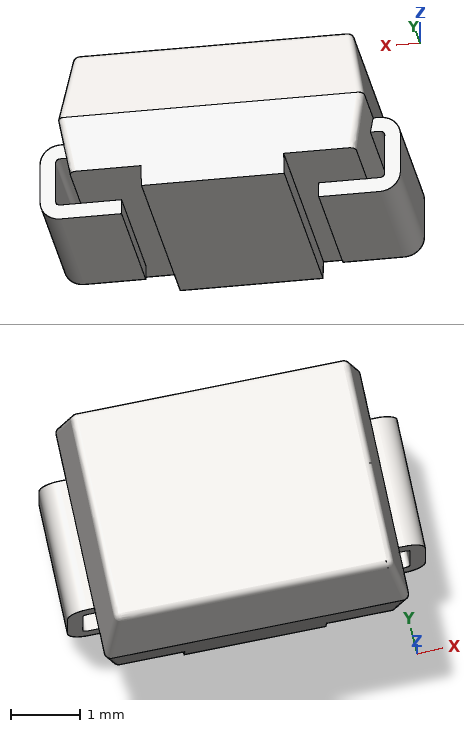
import cadquery as cq
import math

body_length = 4.5
body_width = 3.6
top_z = 2.35
parting_z = 1.225
body_bottom_z = 0.4
draft_angle = 10.0
edge_radius = 0.1

pedestal_length = 2.1
pedestal_bottom_z = 0.1

span = 5.3
lead_width = 2.0
lead_thickness = 0.23
bend_radius = 0.3
inner_bend_radius = bend_radius - lead_thickness
foot_length = 1.2
lead_embedment = 0.3


def drafted_half(height):
    """Tapered block from the parting plane; a negative height goes downward."""
    inset = abs(height) * math.tan(math.radians(draft_angle))
    return (
        cq.Workplane("XY", origin=(0, 0, parting_z))
        .rect(body_length, body_width)
        .workplane(offset=height)
        .rect(body_length - 2 * inset, body_width - 2 * inset)
        .loft()
    )


def make_upper_body():
    """Upper half with its corner edges and top rim rounded."""
    block = drafted_half(top_z - parting_z)
    block = block.edges("not(|X or |Y)").fillet(edge_radius)
    return block.faces(">Z").edges().fillet(edge_radius)


def make_lower_body():
    """Lower half, cut away at both ends so that only the pedestal reaches down."""
    block = drafted_half(pedestal_bottom_z - parting_z)
    block = block.edges("not(|X or |Y)").fillet(edge_radius)
    end_relief_length = (body_length - pedestal_length) / 2
    relief_height = body_bottom_z - pedestal_bottom_z
    for side in (-1, 1):
        relief = cq.Workplane("XY").box(
            end_relief_length, body_width, relief_height, centered=(True, True, False)
        )
        relief_x = side * (pedestal_length + end_relief_length) / 2
        block = block.cut(relief.translate((relief_x, 0, pedestal_bottom_z)))
    return block


def make_left_lead():
    """C-shaped strip: out of the body, down, and back under it."""
    outer_x = -span / 2
    inner_x = outer_x + lead_thickness
    foot_end_x = outer_x + foot_length
    embedded_end_x = -body_length / 2 + lead_embedment
    foot_top_z = lead_thickness
    arm_bottom_z = parting_z - lead_thickness
    outline = [
        (embedded_end_x, parting_z),
        (outer_x, parting_z),
        (outer_x, 0),
        (foot_end_x, 0),
        (foot_end_x, foot_top_z),
        (inner_x, foot_top_z),
        (inner_x, arm_bottom_z),
        (embedded_end_x, arm_bottom_z),
    ]
    strip = cq.Workplane("XZ").polyline(outline).close().extrude(lead_width / 2, both=True)
    strip = strip.edges("|Y and <X").fillet(bend_radius)
    inner_face = cq.selectors.NearestToPointSelector((inner_x, 0, parting_z / 2))
    return strip.faces(inner_face).edges("|Y").fillet(inner_bend_radius)


left_lead = make_left_lead()
right_lead = left_lead.mirror("YZ")
result = make_upper_body().union(make_lower_body()).union(left_lead).union(right_lead)